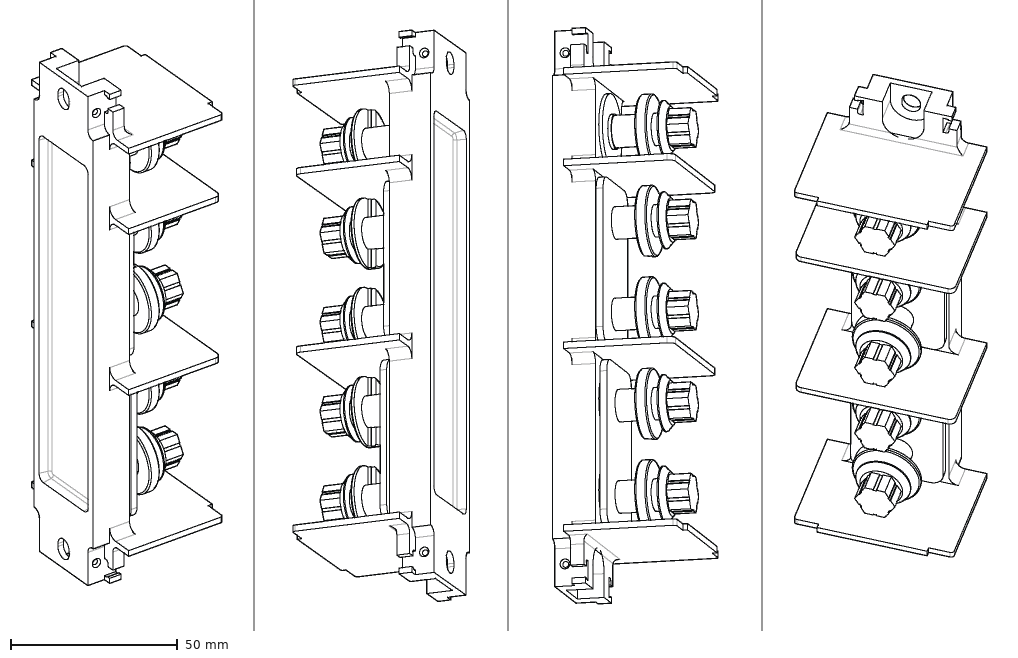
import cadquery as cq
import math


TOTAL_HEIGHT = 170.2
HALF_HEIGHT = TOTAL_HEIGHT / 2
PITCH = 28.0
BOLT_POSITIONS = [step * PITCH for step in (2, 1, 0, -1, -2)]

BODY_WIDTH = 30.5
BODY_DEPTH = 13.4

FIN_WIDTH = 50.0
FIN_THICKNESS = 2.0
FIN_FRONT = 6.1
END_FIN_BACK = 42.5
END_FIN_STEP = 1.5
END_FIN_STEP_WIDTH = 34.5
END_FIN_CORNER = 1.0
INNER_FIN_BACK = 40.2
INNER_FIN_CORNER = 2.0
END_FIN_Z = 2.5 * PITCH
INNER_FIN_POSITIONS = [1.5 * PITCH, -0.5 * PITCH]
FIN_ROOT_RADIUS = 3.0
BODY_TOP = END_FIN_Z + FIN_THICKNESS / 2

END_WIDTH = 25.0
END_DEPTH = 10.3
SHOULDER_RADIUS = 2.5
BRACKET_WIDTH = 33.7
BRACKET_TOP = 79.7
BRACKET_ROOT_RADIUS = 2.4
BRACKET_BACK_ROOT_RADIUS = 1.6
HOOK_WIDTH = BODY_WIDTH
HOOK_THICKNESS = 1.8
POCKET_OUTER_X = 14.3
POCKET_BOTTOM = 77.7
POCKET_TOP = 83.7
POCKET_RADIUS = 0.9
MOUNT_Z = 78.3
MOUNT_SLOT_WIDTH = 5.8
MOUNT_SLOT_LENGTH = 6.8
MOUNT_WALL = 2.0
SCREW_HEAD_CLEARANCE = 13.0
DIMPLE_Y = 3.2
DIMPLE_Z = MOUNT_Z
DIMPLE_RADIUS = 1.5
DIMPLE_FLOOR_RADIUS = 0.9
DIMPLE_DEPTH = 0.8

RECESS_WIDTH = 25.2
RECESS_HEIGHT = 120.4
RECESS_DEPTH = 3.7
RECESS_CORNER = 2.2
RECESS_DRAFT = 10.0
RECESS_FLOOR_RADIUS = 1.0

PAD_RADIUS = 11.5
PAD_THICKNESS = 1.15
PAD_FACE = BODY_DEPTH + PAD_THICKNESS
COLLAR_RADIUS = 5.3
COLLAR_HEIGHT = 1.05
BAR_WIDTH = 29.0
BAR_THICKNESS = 2.15
BAR_OVERHANG_UP = 12.0
BAR_OVERHANG_DOWN = 10.8
BAR_CORNER = 4.2

COLLAR_FACE = PAD_FACE + COLLAR_HEIGHT
LOW_BAR_FACE = BODY_DEPTH + BAR_THICKNESS
RAISED_BAR_FACE = PAD_FACE + BAR_THICKNESS
BOLT_SEATS = [COLLAR_FACE, LOW_BAR_FACE, LOW_BAR_FACE, RAISED_BAR_FACE, RAISED_BAR_FACE]

BOLT_END = 39.7
HEAD_BASE = 33.0
FLANGE_BASE = 30.7
FLANGE_RIM = 0.4
FLANGE_RADIUS = 8.6
FLANGE_TOP_RADIUS = 6.7
HEAD_ACROSS_FLATS = 10.9
HEAD_GROOVE_WIDTH = 1.0
HEAD_GROOVE_DEPTH = 0.3
SHANK_RADIUS = 4.9
WASHER_BACK = 27.9
WASHER_RADIUS = 10.75
WASHER_THICKNESS = 1.2
WASHER_CHAMFER = 0.4
HALF_WASHER_THICKNESS = 2.5
HALF_WASHER_STEP_THICKNESS = 1.5
HALF_WASHER_STEP = 0.5
HALF_WASHER_CHAMFER = 0.5


def box(x0, x1, y0, y1, z0, z1):
    """Box between two opposite corners."""
    return cq.Workplane("XY").box(x1 - x0, y1 - y0, z1 - z0, centered=False).translate((x0, y0, z0))


def wide_box(width, y0, y1, z0, z1):
    """Box centred on the plane X = 0."""
    return box(-width / 2, width / 2, y0, y1, z0, z1)


def section_at(y):
    """XZ workplane at depth y, extruding towards +Y."""
    return cq.Workplane(cq.Plane(origin=(0, y, 0), xDir=(1, 0, 0), normal=(0, -1, 0)))


def disc(radius, y0, y1, z):
    return section_at(y0).center(0, z).circle(radius).extrude(y0 - y1)


def cove(x, z, z_side, radius, y0, y1):
    """Pair of concave fillets beside the faces X = +-x, resting on the level z."""
    diagonal = radius * (1 - math.sqrt(0.5))
    right = (
        section_at(y0)
        .moveTo(x, z)
        .lineTo(x + radius, z)
        .threePointArc((x + diagonal, z + z_side * diagonal), (x, z + z_side * radius))
        .close()
        .extrude(y0 - y1)
    )
    return right.union(right.mirror("YZ"))


def inner_fin(z):
    bottom = z - FIN_THICKNESS / 2
    top = z + FIN_THICKNESS / 2
    fin = wide_box(FIN_WIDTH, FIN_FRONT, INNER_FIN_BACK, bottom, top)
    fin = fin.edges("|Z and >Y").fillet(INNER_FIN_CORNER)
    for level, side in ((top, 1), (bottom, -1)):
        fin = fin.union(cove(BODY_WIDTH / 2, level, side, FIN_ROOT_RADIUS, FIN_FRONT, BODY_DEPTH))
    return fin


def end_fin():
    bottom = END_FIN_Z - FIN_THICKNESS / 2
    fin = wide_box(FIN_WIDTH, FIN_FRONT, END_FIN_BACK - END_FIN_STEP, bottom, BODY_TOP)
    fin = fin.edges("|Z and >Y").fillet(END_FIN_CORNER)
    return fin.union(wide_box(END_FIN_STEP_WIDTH, FIN_FRONT, END_FIN_BACK, bottom, BODY_TOP))


def bracket_pocket():
    """Space between hook and bracket on the +X side, widened behind the bracket lip."""
    pocket = box(END_WIDTH / 2, POCKET_OUTER_X, FIN_FRONT, END_DEPTH, POCKET_BOTTOM, POCKET_TOP)
    pocket = pocket.edges("|Y and >X").fillet(POCKET_RADIUS)
    mouth_top = HALF_HEIGHT - HOOK_THICKNESS
    mouth = box(END_WIDTH / 2, BRACKET_WIDTH, FIN_FRONT, END_DEPTH, BRACKET_TOP, mouth_top)
    return pocket.union(mouth)


def dimple():
    """Conical dimple in the +X side of the mounting end."""
    cone = cq.Solid.makeCone(
        DIMPLE_RADIUS,
        DIMPLE_FLOOR_RADIUS,
        DIMPLE_DEPTH,
        pnt=cq.Vector(END_WIDTH / 2, DIMPLE_Y, DIMPLE_Z),
        dir=cq.Vector(-1, 0, 0),
    )
    return cq.Workplane(cone)


def bracket_block():
    """Plain block of both brackets, its coves onto the fin meeting in mitred corners."""
    reach_x = BRACKET_WIDTH / 2 + BRACKET_ROOT_RADIUS
    reach_y = END_DEPTH + BRACKET_BACK_ROOT_RADIUS
    across = wide_box(BRACKET_WIDTH, FIN_FRONT, reach_y, BODY_TOP, BRACKET_TOP)
    across = across.union(
        cove(BRACKET_WIDTH / 2, BODY_TOP, 1, BRACKET_ROOT_RADIUS, FIN_FRONT, reach_y)
    )
    diagonal = BRACKET_BACK_ROOT_RADIUS * (1 - math.sqrt(0.5))
    along = (
        cq.Workplane("YZ", origin=(-reach_x, 0, 0))
        .moveTo(FIN_FRONT, BODY_TOP)
        .lineTo(reach_y, BODY_TOP)
        .threePointArc(
            (END_DEPTH + diagonal, BODY_TOP + diagonal),
            (END_DEPTH, BODY_TOP + BRACKET_BACK_ROOT_RADIUS),
        )
        .lineTo(END_DEPTH, BRACKET_TOP)
        .lineTo(FIN_FRONT, BRACKET_TOP)
        .close()
        .extrude(2 * reach_x)
    )
    return across.intersect(along)


def mounting_end():
    """Upper mounting end with its barrier fin."""
    end = end_fin().union(bracket_block())
    end = end.union(wide_box(END_WIDTH, 0, END_DEPTH, BODY_TOP, HALF_HEIGHT))
    end = end.union(cove(END_WIDTH / 2, BODY_TOP, 1, SHOULDER_RADIUS, 0, FIN_FRONT))
    end = end.union(wide_box(HOOK_WIDTH, FIN_FRONT, END_DEPTH, BRACKET_TOP, HALF_HEIGHT))
    bottom = END_FIN_Z - FIN_THICKNESS / 2
    end = end.union(cove(BODY_WIDTH / 2, bottom, -1, FIN_ROOT_RADIUS, FIN_FRONT, BODY_DEPTH))

    for cut in (bracket_pocket(), dimple()):
        end = end.cut(cut).cut(cut.mirror("YZ"))

    slot = (
        section_at(0)
        .center(0, MOUNT_Z)
        .slot2D(MOUNT_SLOT_LENGTH, MOUNT_SLOT_WIDTH, 90)
        .extrude(-END_DEPTH)
    )
    seat_z = MOUNT_Z - (MOUNT_SLOT_LENGTH - MOUNT_SLOT_WIDTH) / 2
    seat = disc(SCREW_HEAD_CLEARANCE / 2, MOUNT_WALL, END_DEPTH, seat_z)
    channel = wide_box(SCREW_HEAD_CLEARANCE, MOUNT_WALL, END_DEPTH, seat_z, HALF_HEIGHT)
    return end.cut(slot).cut(seat).cut(channel)


def label_recess():
    recess = (
        section_at(0)
        .sketch()
        .rect(RECESS_WIDTH, RECESS_HEIGHT)
        .vertices()
        .fillet(RECESS_CORNER)
        .finalize()
        .extrude(-RECESS_DEPTH, taper=RECESS_DRAFT)
    )
    return recess.faces(">Y").edges().fillet(RECESS_FLOOR_RADIUS)


def link_bar(upper_z, lower_z, y):
    """Flat bar joining two neighbouring terminals, its front face at depth y."""
    bottom = lower_z - BAR_OVERHANG_DOWN
    top = upper_z + BAR_OVERHANG_UP
    bar = wide_box(BAR_WIDTH, y, y + BAR_THICKNESS, bottom, top)
    return bar.edges("|Y").fillet(BAR_CORNER)


def make_housing():
    housing = wide_box(BODY_WIDTH, 0, BODY_DEPTH, -END_FIN_Z, END_FIN_Z)
    housing = housing.union(wide_box(BODY_WIDTH, 0, FIN_FRONT, -BODY_TOP, BODY_TOP))
    end = mounting_end()
    housing = housing.union(end).union(end.mirror("XY"))
    for z in INNER_FIN_POSITIONS:
        housing = housing.union(inner_fin(z))
    housing = housing.cut(label_recess())

    for z in BOLT_POSITIONS:
        housing = housing.union(disc(PAD_RADIUS, BODY_DEPTH, PAD_FACE, z))
    housing = housing.union(disc(COLLAR_RADIUS, PAD_FACE, COLLAR_FACE, BOLT_POSITIONS[0]))
    housing = housing.union(link_bar(BOLT_POSITIONS[1], BOLT_POSITIONS[2], BODY_DEPTH))
    return housing.union(link_bar(BOLT_POSITIONS[3], BOLT_POSITIONS[4], PAD_FACE))


def make_bolt(z, seat):
    """Flanged hexagon bolt with captive washers, its shank standing on the depth `seat`.

    A full washer lies under the flange, with a stepped half washer on its +X side.
    """
    rim = FLANGE_BASE + FLANGE_RIM
    profile = [
        (0, seat),
        (SHANK_RADIUS, seat),
        (SHANK_RADIUS, FLANGE_BASE),
        (FLANGE_RADIUS, FLANGE_BASE),
        (FLANGE_RADIUS, rim),
        (FLANGE_TOP_RADIUS, HEAD_BASE),
        (0, HEAD_BASE),
    ]
    bolt = cq.Workplane("XY").polyline(profile).close().revolve(360, (0, 0), (0, 1))

    corner_diameter = HEAD_ACROSS_FLATS / math.cos(math.pi / 6)
    head = section_at(HEAD_BASE).polygon(6, corner_diameter).extrude(HEAD_BASE - BOLT_END)
    flat = HEAD_ACROSS_FLATS / 2
    groove = wide_box(HEAD_GROOVE_WIDTH, HEAD_BASE, BOLT_END, flat - HEAD_GROOVE_DEPTH, flat)
    for side in range(6):
        head = head.cut(groove.rotate((0, 0, 0), (0, 1, 0), side * 60))

    washer_front = WASHER_BACK - WASHER_THICKNESS
    washer = disc(WASHER_RADIUS, washer_front, WASHER_BACK, 0)
    washer = washer.faces(">Y").edges().chamfer(WASHER_CHAMFER)
    half_washer_front = washer_front - HALF_WASHER_THICKNESS
    half_washer = disc(WASHER_RADIUS, half_washer_front, washer_front, 0)
    half_washer = half_washer.faces("<Y").edges().chamfer(HALF_WASHER_CHAMFER)
    step_y = half_washer_front + HALF_WASHER_STEP_THICKNESS
    open_half = wide_box(2 * WASHER_RADIUS, step_y, washer_front, -WASHER_RADIUS, WASHER_RADIUS)
    open_step = wide_box(2 * WASHER_RADIUS, half_washer_front, step_y, -WASHER_RADIUS, WASHER_RADIUS)
    half_washer = half_washer.cut(open_half.translate((-WASHER_RADIUS, 0, 0)))
    half_washer = half_washer.cut(open_step.translate((HALF_WASHER_STEP - WASHER_RADIUS, 0, 0)))
    return bolt.union(head).union(washer).union(half_washer).translate((0, 0, z))


housing = make_housing()
bolts = [make_bolt(z, seat) for z, seat in zip(BOLT_POSITIONS, BOLT_SEATS)]

result = cq.Compound.makeCompound([housing.val(), *[bolt.val() for bolt in bolts]])